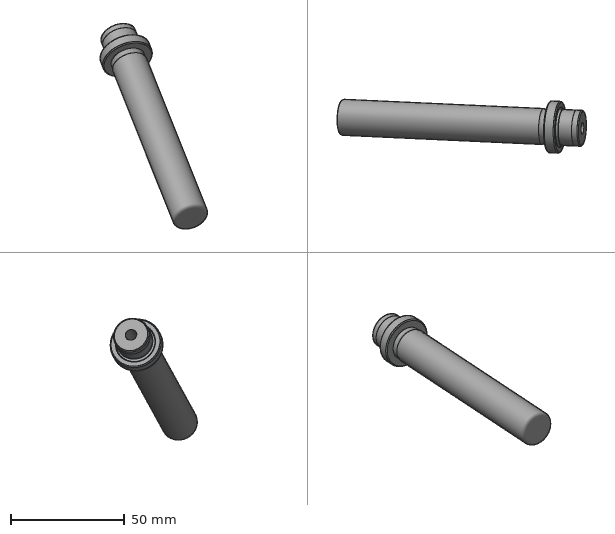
import cadquery as cq
import math

total_length = 110.0
spigot_length = 10.0
collar_width = 5.0

shaft_diameter = 16.0
spigot_diameter = 16.0
pilot_diameter = 15.98
collar_diameter = 23.0

pilot_length = 3.0
pilot_chamfer = 0.5
collar_chamfer = 0.5

spigot_relief_width = 1.0
spigot_relief_depth = 0.3
face_relief_diameter = 18.0
face_relief_depth = 0.3
face_relief_taper_width = 0.3
relief_corner_radius = 0.25

neck_width = 3.0
neck_depth = 0.5
neck_taper_rise = 0.25
neck_rise_length = 1.7

shaft_end_radius = 1.6

hole_diameter = 5.0
hole_depth = 15.0
drill_point_angle = 118.0


def rounding_midpoint(corner_x, corner_radius, size):
    """Midpoint of a quarter-circle rounding of an outside corner facing +X."""
    inset = size * (1 - math.sqrt(0.5))
    return (corner_x - inset, corner_radius - inset)


def make_body():
    """Revolve the half profile (x, radius) about the X axis."""
    shaft_radius = shaft_diameter / 2
    spigot_radius = spigot_diameter / 2
    pilot_radius = pilot_diameter / 2
    collar_radius = collar_diameter / 2
    face_relief_radius = face_relief_diameter / 2
    relief_radius = spigot_radius - spigot_relief_depth
    neck_radius = shaft_radius - neck_depth
    collar_start = spigot_length
    collar_end = collar_start + collar_width
    relief_start = collar_start - spigot_relief_width
    relief_end = collar_start + face_relief_depth
    neck_end = collar_end + neck_width
    neck_bottom = neck_end - neck_rise_length
    neck_arc_radius = (neck_rise_length**2 + neck_depth**2) / (2 * neck_depth)
    neck_start_radius = neck_radius + neck_taper_rise

    return (
        cq.Workplane("XY")
        .moveTo(0, 0)
        .lineTo(0, pilot_radius - pilot_chamfer)
        .lineTo(pilot_chamfer, pilot_radius)
        .lineTo(pilot_length, pilot_radius)
        .lineTo(pilot_length, spigot_radius)
        .lineTo(relief_start, spigot_radius)
        .lineTo(relief_start + spigot_relief_depth, relief_radius)
        .lineTo(relief_end - relief_corner_radius, relief_radius)
        .radiusArc((relief_end, relief_radius + relief_corner_radius), -relief_corner_radius)
        .lineTo(relief_end, face_relief_radius - face_relief_taper_width)
        .lineTo(collar_start, face_relief_radius)
        .lineTo(collar_start, collar_radius - collar_chamfer)
        .lineTo(collar_start + collar_chamfer, collar_radius)
        .lineTo(collar_end - collar_chamfer, collar_radius)
        .lineTo(collar_end, collar_radius - collar_chamfer)
        .lineTo(collar_end, neck_start_radius)
        .lineTo(neck_bottom, neck_radius)
        .radiusArc((neck_end, shaft_radius), -neck_arc_radius)
        .lineTo(total_length - shaft_end_radius, shaft_radius)
        .threePointArc(
            rounding_midpoint(total_length, shaft_radius, shaft_end_radius),
            (total_length, shaft_radius - shaft_end_radius),
        )
        .lineTo(total_length, 0)
        .close()
        .revolve(360, (0, 0, 0), (1, 0, 0))
    )


def make_hole():
    """Axial blind hole with a conical drill point."""
    hole_radius = hole_diameter / 2
    point_length = hole_radius / math.tan(math.radians(drill_point_angle / 2))
    return (
        cq.Workplane("XY")
        .moveTo(0, 0)
        .lineTo(0, hole_radius)
        .lineTo(hole_depth, hole_radius)
        .lineTo(hole_depth + point_length, 0)
        .close()
        .revolve(360, (0, 0, 0), (1, 0, 0))
    )


result = make_body().cut(make_hole())